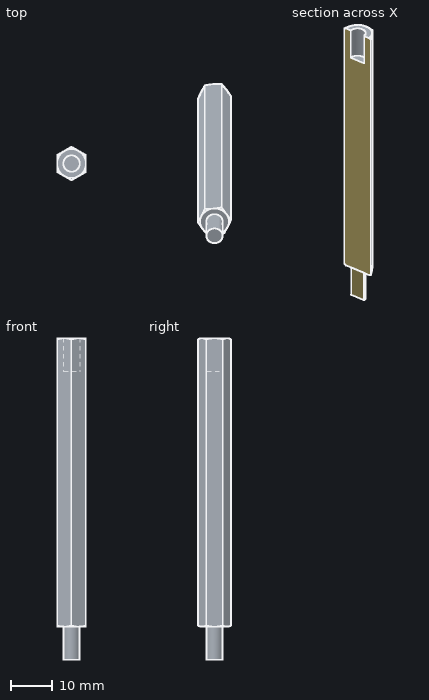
import cadquery as cq
import math

total_length = 78.0
stud_length = 8.0
thread_diameter = 4.0
across_flats = 7.0
chamfer_angle = 30.0
hole_depth = stud_length

body_length = total_length - stud_length
across_corners = across_flats / math.cos(math.radians(30))
corner_radius = across_corners / 2
end_face_radius = across_flats / 2
chamfer_height = (corner_radius - end_face_radius) * math.tan(math.radians(chamfer_angle))


def chamfer_envelope():
    """Round blank, coned at both ends, that trims the corners of the hexagon."""
    return (
        cq.Workplane("XZ")
        .moveTo(0, 0)
        .lineTo(end_face_radius, 0)
        .lineTo(corner_radius, chamfer_height)
        .lineTo(corner_radius, body_length - chamfer_height)
        .lineTo(end_face_radius, body_length)
        .lineTo(0, body_length)
        .close()
        .revolve(360, (0, 0, 0), (0, 1, 0))
    )


def make_spacer():
    """Hexagonal spacer, flats facing X, with a blind hole in its top end."""
    hexagon = (
        cq.Workplane("XY")
        .transformed(rotate=(0, 0, 90))
        .polygon(6, across_corners)
        .extrude(body_length)
    )
    hole = (
        cq.Workplane("XY")
        .workplane(offset=body_length - hole_depth)
        .circle(thread_diameter / 2)
        .extrude(hole_depth)
    )
    return hexagon.intersect(chamfer_envelope()).cut(hole)


def make_stud():
    """Plain round stud standing on the bottom face of the spacer."""
    return cq.Workplane("XY").circle(thread_diameter / 2).extrude(-stud_length)


spacer = make_spacer()
stud = make_stud()

result = cq.Compound.makeCompound([spacer.solids().val(), stud.val()])